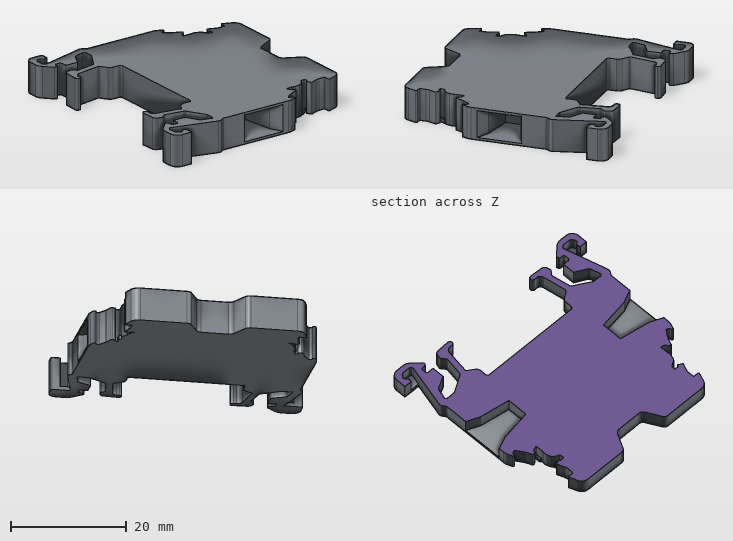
import cadquery as cq
import math


THICKNESS = 5.9
WIDTH = 44.33
HEIGHT = 40.0
HALF_WIDTH = WIDTH / 2
NOTCH_FLOOR_Y = 36.15
RAIL_SEAT_Y = 11.92
BODY_HALF_WIDTH = 20.08
FLOOR_THICKNESS = 0.67
FOOT_TOP_Y = 3.53

ENTRY_CENTRE_Y = 20.37
ENTRY_MOUTH_WIDTH = 8.2
ENTRY_THROAT_WIDTH = 6.0
ENTRY_END_WIDTH = 4.1
ENTRY_THROAT_DEPTH = 2.55
ENTRY_END_DEPTH = 8.5
ENTRY_WALL = 0.46

TOP_SHOULDER = [
    (0, NOTCH_FLOOR_Y, 0),
    (-3.0, NOTCH_FLOOR_Y, 1.0),
    (-5.06, HEIGHT, 1.0),
    (-14.94, HEIGHT, 1.6),
    (-16.02, 37.16, 0.2),
    (-14.75, 37.12, 0.05),
]
LATCH_TEETH = [
    (-14.75, 35.58, 1.9),
    (-15.45, 33.85, 0.1),
    (-14.54, 33.38, 0),
    (-14.31, 33.75, 0.1),
    (-13.57, 33.65, 0.05),
    (-13.64, 32.93, 0.2),
    (-14.86, 32.24, 0.9),
    (-15.32, 31.0, 2.0),
    (-15.23, 30.12, 0),
    (-15.23, 28.67, 0.1),
    (-16.06, 28.92, 0.12),
    (-16.11, 29.35, 0.15),
    (-16.84, 29.64, 0.2),
    (-17.51, 28.11, 1.9),
    (-18.52, 26.62, 0.2),
    (-19.07, 26.86, 0.12),
    (-19.16, 27.39, 0.15),
    (-19.55, 27.39, 0.15),
]
OUTER_SIDE = [
    (-BODY_HALF_WIDTH, 26.02, 2.4),
    (-BODY_HALF_WIDTH, 11.65, 0.3),
    (-20.74, 10.68, 0.9),
]
FOOT_HOOK = [
    (-18.23, 1.2, 0.48),
    (-20.56, 1.2, 0.7),
    (-21.12, 2.17, 0.4),
    (-20.37, 2.84, 0.12),
    (-20.64, FOOT_TOP_Y, 0),
    (-HALF_WIDTH, FOOT_TOP_Y, 0.16),
    (-HALF_WIDTH, 0, 1.5),
    (-18.4, 0, 1.9),
    (-16.0, 2.25, 0.45),
    (-16.47, 2.8, 0.3),
    (-17.35, 2.8, 0.3),
    (-17.35, 4.1, 0.3),
    (-15.87, 4.1, 0.08),
    (-15.87, 6.62, 0.08),
    (-18.39, 7.95, 0.64),
]
RAIL_CLAW = [
    (-19.08, 10.4, 0.32),
    (-17.03, 10.4, 0.64),
    (-13.48, 8.3, 0.4),
    (-12.8, 4.42, 0.24),
    (-13.6, 3.45, 0.6),
    (-13.2, 2.05, 0.8),
    (-9.72, 1.88, 0.48),
    (-9.4, 2.95, 0.48),
    (-11.33, 2.95, 0.9),
    (-12.24, 8.43, 0.24),
    (-10.39, 9.69, 0.96),
    (-10.39, RAIL_SEAT_Y, 0.48),
    (0, RAIL_SEAT_Y, 0),
]
HALF_PROFILE = TOP_SHOULDER + LATCH_TEETH + OUTER_SIDE + FOOT_HOOK + RAIL_CLAW

UPPER_SLIT_WEB = [(-13.4, 33.65), (-13.95, 33.65), (-14.7, 32.45), (-14.3, 32.0), (-13.4, 32.8)]
LOWER_SLIT_WEB = [(-15.22, 30.1), (-15.58, 29.9), (-15.58, 28.6), (-15.0, 28.6), (-15.0, 30.1)]
HOOK_WEB = [(-21.5, FOOT_TOP_Y), (-18.5, FOOT_TOP_Y), (-17.9, 0.8), (-21.5, 0.8)]


def rounded_outline(corners):
    """Closed outline with a tangent arc at every corner that has a radius."""
    path = None
    for index, (x, y, radius) in enumerate(corners):
        before = corners[index - 1]
        after = corners[(index + 1) % len(corners)]
        corner = cq.Vector(x, y)
        to_before = (cq.Vector(before[0], before[1]) - corner).normalized()
        to_after = (cq.Vector(after[0], after[1]) - corner).normalized()
        half_angle = to_before.getAngle(to_after) / 2
        setback = radius / math.tan(half_angle)
        arc_start = corner + to_before * setback
        path = cq.Workplane("XY").moveTo(x, y) if path is None else path.lineTo(arc_start.x, arc_start.y)
        if radius > 0:
            bisector = (to_before + to_after).normalized()
            arc_middle = corner + bisector * (radius / math.sin(half_angle) - radius)
            arc_end = corner + to_after * setback
            path = path.threePointArc((arc_middle.x, arc_middle.y), (arc_end.x, arc_end.y))
    return path.close()


def wire_entry():
    """Funnel that narrows from the left side of the body towards its middle."""
    stations = [
        (0, ENTRY_MOUTH_WIDTH),
        (ENTRY_THROAT_DEPTH, ENTRY_THROAT_WIDTH),
        (ENTRY_END_DEPTH, ENTRY_END_WIDTH),
    ]
    upper = [(depth - BODY_HALF_WIDTH, ENTRY_CENTRE_Y + width / 2) for depth, width in stations]
    lower = [(depth - BODY_HALF_WIDTH, ENTRY_CENTRE_Y - width / 2) for depth, width in stations]
    return (
        cq.Workplane("XY")
        .workplane(offset=ENTRY_WALL)
        .polyline(upper + lower[::-1])
        .close()
        .extrude(THICKNESS - 2 * ENTRY_WALL)
    )


def left_half():
    half = rounded_outline(HALF_PROFILE).extrude(THICKNESS)
    for web in (UPPER_SLIT_WEB, LOWER_SLIT_WEB, HOOK_WEB):
        half = half.union(cq.Workplane("XY").polyline(web).close().extrude(FLOOR_THICKNESS))
    return half.cut(wire_entry())


left = left_half()
result = left.union(left.mirror("YZ")).clean()